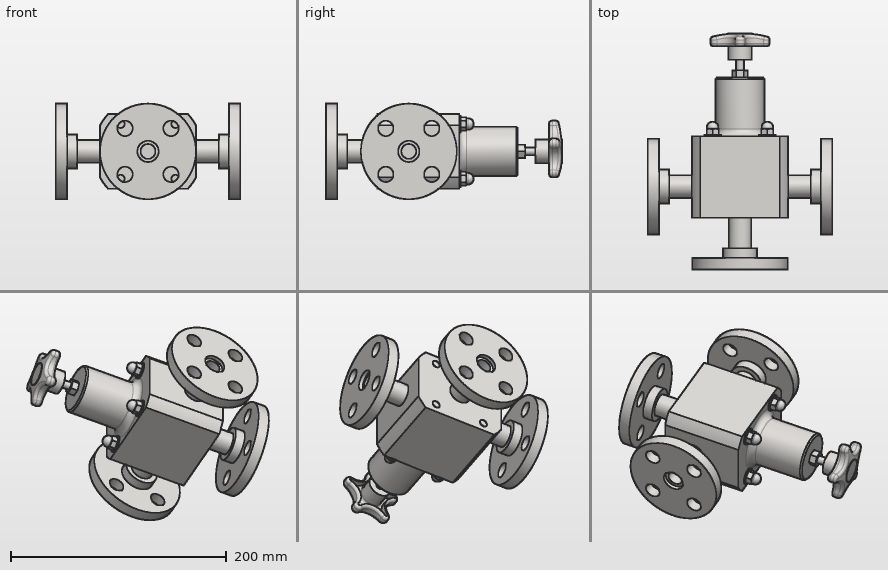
import cadquery as cq
import math


port_span_x = 171.5
port_reach_x = port_span_x / 2
port_reach_y = 77.0
flange_dia = 89.0
flange_thickness = 10.7
collar_dia = 31.8
collar_length = 9.2
pipe_dia = 21.2
bore_dia = 13.8
counterbore_dia = 19.7
counterbore_depth = 4.0
flange_hole_dia = 14.2
flange_hole_circle = 60.2

body_width = 89.2
body_height = 69.7
body_corner_dia = 101.5
body_bottom = -29.1
body_top = 46.9

stud_offset = 25.5
stud_dia = 7.5
stud_recess = 0.5
washer_dia = 15.8
washer_thickness = 1.0
nut_flats = 11.2
nut_height = 5.5
nut_edge_chamfer = 0.7
cap_dia = 11.0
cap_skirt = 1.3

bonnet_dia = 45.8
bonnet_top = 101.2
bonnet_chamfer = 1.5
bonnet_base_fillet = 6.5
gland_flats = 12.5
gland_height = 6.5
spindle_dia = 7.5

overall_length = 219.0
wheel_top = overall_length - port_reach_y
wheel_height = 12.3
hub_dia = 22.1
hub_length = 24.8
lobe_count = 5
lobe_radius = 4.5
lobe_circle_radius = 24.0
valley_radius = 17.3
crown_radius = 114.0
wheel_edge_fillet = 3.0
rim_width = wheel_edge_fillet
cavity_depth = 6.1
hub_root_fillet = 3.3


def cylinder_y(diameter, start, end, x=0.0, z=0.0):
    """Cylinder along Y between two Y positions."""
    axis = cq.Vector(0, 1, 0)
    return cq.Workplane(cq.Solid.makeCylinder(diameter / 2, end - start, cq.Vector(x, start, z), axis))


def hexagon_y(flats, start, end):
    """Hexagonal prism along Y with two corners on the X axis."""
    corners = flats / math.cos(math.pi / 6)
    return cq.Workplane("XZ", origin=(0, start, 0)).polygon(6, corners).extrude(start - end)


def port(reach):
    """Flanged pipe running from the origin to -Y."""
    flange_back = -reach + flange_thickness
    pipe = cylinder_y(pipe_dia, -reach, 0)
    collar = cylinder_y(collar_dia, -reach, flange_back + collar_length)
    return pipe.union(collar).union(cylinder_y(flange_dia, -reach, flange_back))


def port_holes(reach, body_face):
    """Bore ending level with the body face, counterbore and flange bolt holes of a port along -Y."""
    flange_back = -reach + flange_thickness
    holes = cylinder_y(bore_dia, -reach, -body_face)
    holes = holes.union(cylinder_y(counterbore_dia, -reach, -reach + counterbore_depth))
    offset = flange_hole_circle / 2 * math.sin(math.pi / 4)
    for x in (-offset, offset):
        for z in (-offset, offset):
            holes = holes.union(cylinder_y(flange_hole_dia, -reach, flange_back, x, z))
    return holes


def body():
    """Rectangular block with its long edges turned to a common cylinder."""
    length = body_top - body_bottom
    middle = (body_top + body_bottom) / 2
    block = cq.Workplane("XY").box(body_width, length, body_height).translate((0, middle, 0))
    return block.intersect(cylinder_y(body_corner_dia, body_bottom, body_top))


def domed_nut():
    """Washer, chamfered hexagon and hemispherical cap, standing on the body top at X = Z = 0."""
    nut_base = body_top + washer_thickness
    nut_top = nut_base + nut_height
    dome_base = nut_top + cap_skirt
    corner_radius = nut_flats / 2 / math.cos(math.pi / 6)
    envelope = cylinder_y(2 * corner_radius, nut_base, nut_top).faces(">Y").chamfer(nut_edge_chamfer)
    hexagon = hexagon_y(nut_flats, nut_base, nut_top).rotate((0, 0, 0), (0, 1, 0), 90)
    nut = cylinder_y(washer_dia, body_top, nut_base).union(hexagon.intersect(envelope))
    dome = cq.Workplane("XY").sphere(cap_dia / 2).translate((0, dome_base, 0))
    return nut.union(dome).union(cylinder_y(cap_dia, nut_base, dome_base))


def concave_flare(diameter, fillet, foot, direction):
    """Turned foot on the Y axis that narrows by a concave fillet; direction +1 rises to +Y, -1 to -Y."""
    radius = diameter / 2
    mid_offset = fillet * (1 - math.sin(math.pi / 4))
    profile = (
        cq.Workplane("XY")
        .moveTo(0, foot)
        .lineTo(radius + fillet, foot)
        .threePointArc((radius + mid_offset, foot + direction * mid_offset), (radius, foot + direction * fillet))
        .lineTo(0, foot + direction * fillet)
        .close()
    )
    return profile.revolve(360, (0, 0, 0), (0, 1, 0))


def bonnet():
    """Cylindrical cover with a chamfered top and a concave flare at its base."""
    cover = cylinder_y(bonnet_dia, body_top, bonnet_top).faces(">Y").chamfer(bonnet_chamfer)
    return cover.union(concave_flare(bonnet_dia, bonnet_base_fillet, body_top, 1))


def star_prism(inset, start, end):
    """Five-lobed prism along Y: lobe arcs joined by tangent concave arcs, all offset inwards by inset."""
    half_pitch = math.pi / lobe_count
    reach = valley_radius - lobe_radius
    centre = (lobe_circle_radius**2 - reach**2) / (2 * (lobe_circle_radius * math.cos(half_pitch) - reach))
    hollow = centre - valley_radius
    tangent_share = (lobe_radius - inset) / (lobe_radius + hollow)
    tangent_x = lobe_circle_radius + (centre * math.cos(half_pitch) - lobe_circle_radius) * tangent_share
    tangent_y = centre * math.sin(half_pitch) * tangent_share
    tangent_radius = math.hypot(tangent_x, tangent_y)
    tangent_angle = math.atan2(tangent_y, tangent_x)

    def polar(radius, angle):
        return (radius * math.cos(angle), radius * math.sin(angle))

    tip_radius = lobe_circle_radius + lobe_radius - inset
    first = math.pi / 2
    outline = cq.Workplane("XZ", origin=(0, start, 0)).moveTo(*polar(tangent_radius, first - tangent_angle))
    for index in range(lobe_count):
        angle = first + 2 * half_pitch * index
        outline = outline.threePointArc(polar(tip_radius, angle), polar(tangent_radius, angle + tangent_angle))
        following = angle + 2 * half_pitch
        outline = outline.threePointArc(
            polar(valley_radius - inset, angle + half_pitch), polar(tangent_radius, following - tangent_angle)
        )
    return outline.close().extrude(start - end)


def hand_wheel():
    """Crowned five-lobed wheel, hollow underneath, with a hub."""
    wheel_bottom = wheel_top - wheel_height
    cavity_top = wheel_bottom + cavity_depth
    crown = cq.Workplane("XY").sphere(crown_radius).translate((0, wheel_top - crown_radius, 0))
    rim = star_prism(0, wheel_bottom, wheel_top).intersect(crown)
    rim = rim.faces("<Y").edges().fillet(wheel_edge_fillet)
    rim = rim.faces(">Y").edges().fillet(wheel_edge_fillet)
    rim = rim.cut(star_prism(rim_width, wheel_bottom, cavity_top))
    hub = cylinder_y(hub_dia, wheel_top - hub_length, wheel_top)
    root = concave_flare(hub_dia, hub_root_fillet, cavity_top, -1)
    return rim.union(hub).union(root)


valve = body().union(bonnet())

for stud_x in (-stud_offset, stud_offset):
    for stud_z in (-stud_offset, stud_offset):
        recess = cylinder_y(stud_dia, body_bottom, body_bottom + stud_recess, stud_x, stud_z)
        valve = valve.union(domed_nut().translate((stud_x, 0, stud_z))).cut(recess)

valve = valve.union(hexagon_y(gland_flats, bonnet_top, bonnet_top + gland_height))
valve = valve.union(cylinder_y(spindle_dia, bonnet_top, wheel_top - hub_length))
valve = valve.union(hand_wheel())

port_placements = (
    (0, port_reach_y, -body_bottom),
    (-90, port_reach_x, body_width / 2),
    (90, port_reach_x, body_width / 2),
)
for turn, reach, body_face in port_placements:
    valve = valve.union(port(reach).rotate((0, 0, 0), (0, 0, 1), turn))
    valve = valve.cut(port_holes(reach, body_face).rotate((0, 0, 0), (0, 0, 1), turn))

result = valve